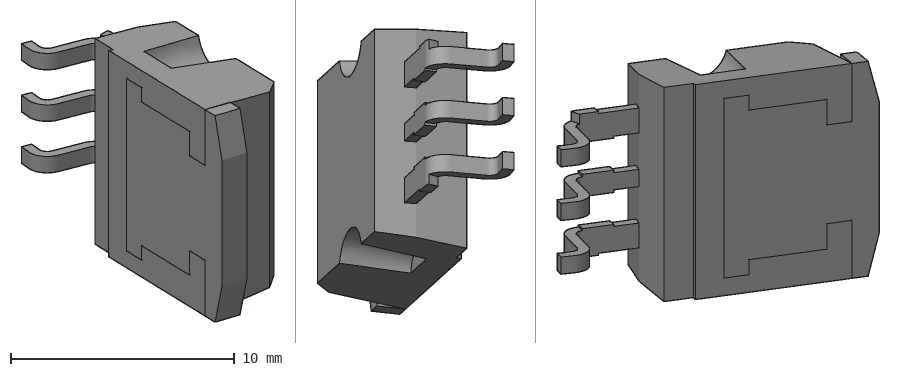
import cadquery as cq
import math


length = 15.43
height = 4.6
half_width = 10.2 / 2

parting_y = 2.7
ridge_x = 4.94
lead_wall_top_x = 5.17
lead_wall_foot_x = 5.14
standoff_y = 0.23
standoff_end_x = 6.56
bevel_start_x = 12.9
bevel_end_x = 13.76
bevel_end_y = 3.75
half_width_at_top = 4.77

slug_thickness = 1.36
anchor_start_x = 7.93
anchor_end_x = 9.13
anchor_half_width = 4.26
pad_end_x = 12.9
pad_half_width = 3.55
neck_half_width = 2.35
tab_start_x = 14.1
tab_corner_x = 14.89
tab_end_half_width = 3.1

notch_x = 8.44
notch_top_radius = 1.5
notch_floor_radius = 1.08

lead_pitch = 2.55
lead_width = 0.82
lead_thickness = 0.54
lead_drop = 0.25
bend_inner_radius = 0.42
bend_outer_radius = bend_inner_radius + lead_thickness
upper_bend_x = 2.19
riser_lean = math.radians(3.5)
lead_top_y = parting_y + lead_thickness

rib_start_x = 2.22
rib_end_x = 3.73
middle_rib_height = 0.12
inner_rib_height = 0.1
root_outer_z = 3.32
shoulder_outer_z = 3.41
shoulder_end_x = 3.0
shoulder_wrap = math.radians(20)


def prism_xy(profile, z_min, z_max):
    """Extrude a closed XY profile between two Z levels."""
    return profile.extrude(z_max - z_min).translate((0, 0, z_min))


def lead_block(x_min, x_max, z_min, z_max):
    """Flat piece of lead at the level of the straight stretch."""
    profile = (
        cq.Workplane("XY")
        .moveTo(x_min, parting_y)
        .lineTo(x_max, parting_y)
        .lineTo(x_max, lead_top_y)
        .lineTo(x_min, lead_top_y)
        .close()
    )
    return prism_xy(profile, z_min, z_max)


def on_circle(center, radius, direction):
    """Point at a radius from a centre along a unit direction."""
    return (center[0] + radius * direction[0], center[1] + radius * direction[1])


def make_slug():
    upper_edge = [
        (anchor_start_x, anchor_half_width),
        (anchor_end_x, anchor_half_width),
        (anchor_end_x, pad_half_width),
        (pad_end_x, pad_half_width),
        (pad_end_x, neck_half_width),
        (tab_start_x, neck_half_width),
        (tab_start_x, half_width),
        (tab_corner_x, half_width),
        (length, tab_end_half_width),
    ]
    lower_edge = [(x, -z) for x, z in reversed(upper_edge)]
    return cq.Workplane("XZ").polyline(upper_edge + lower_edge).close().extrude(-slug_thickness)


def make_housing_blank():
    """Side outline narrowed by the draft of the two Z faces."""
    outline = cq.Workplane("XY").polyline([
        (lead_wall_foot_x, standoff_y),
        (standoff_end_x, standoff_y),
        (standoff_end_x, 0),
        (tab_start_x, 0),
        (bevel_end_x, bevel_end_y),
        (bevel_start_x, height),
        (lead_wall_top_x, height),
        (ridge_x, parting_y),
    ]).close()
    block = prism_xy(outline, -half_width, half_width)
    drafted_section = cq.Workplane("YZ").polyline([
        (0, -half_width),
        (height, -half_width_at_top),
        (height, half_width_at_top),
        (0, half_width),
    ]).close().extrude(length)
    return block.intersect(drafted_section)


def make_notch(side):
    """Cone opening toward +Y, with its axis on the widest Z level of the housing."""
    return cq.Workplane(cq.Solid.makeCone(
        notch_floor_radius,
        notch_top_radius,
        height - slug_thickness,
        cq.Vector(notch_x, slug_thickness, side * half_width),
        cq.Vector(0, 1, 0),
    ))


def make_housing(slug):
    body = make_housing_blank()
    for side in (-1, 1):
        body = body.cut(make_notch(side))
    return body.cut(slug).solids()


upper_bend = (upper_bend_x, parting_y - bend_inner_radius)


def make_bent_strip(z_min, z_max):
    """Constant-width gull-wing strip: straight stretch, riser and foot."""
    lean_sin = math.sin(riser_lean)
    lean_cos = math.cos(riser_lean)
    outward = (-lean_cos, lean_sin)
    inward = (lean_cos, -lean_sin)
    foot_down = (-lean_sin, -lean_cos)
    up = (0, 1)

    side_step = bend_inner_radius + bend_outer_radius
    lower_bend_y = bend_outer_radius - lead_drop
    riser_length = (upper_bend[1] + side_step * lean_sin - lower_bend_y) / lean_cos
    lower_bend = on_circle(on_circle(upper_bend, side_step, outward), riser_length, foot_down)

    foot_bottom = on_circle(lower_bend, bend_outer_radius, foot_down)
    foot_top = on_circle(lower_bend, bend_inner_radius, foot_down)
    foot_length = foot_bottom[0] / lean_cos
    diagonal = math.sqrt(0.5)
    upper_mid = (-diagonal, diagonal)
    lower_mid = (diagonal, -diagonal)

    profile = (
        cq.Workplane("XY")
        .moveTo(lead_wall_top_x, lead_top_y)
        .lineTo(*on_circle(upper_bend, bend_outer_radius, up))
        .threePointArc(
            on_circle(upper_bend, bend_outer_radius, upper_mid),
            on_circle(upper_bend, bend_outer_radius, outward),
        )
        .lineTo(*on_circle(lower_bend, bend_inner_radius, inward))
        .threePointArc(on_circle(lower_bend, bend_inner_radius, lower_mid), foot_top)
        .lineTo(*on_circle(foot_top, foot_length, outward))
        .lineTo(*on_circle(foot_bottom, foot_length, outward))
        .lineTo(*foot_bottom)
        .threePointArc(
            on_circle(lower_bend, bend_outer_radius, lower_mid),
            on_circle(lower_bend, bend_outer_radius, inward),
        )
        .lineTo(*on_circle(upper_bend, bend_inner_radius, outward))
        .threePointArc(
            on_circle(upper_bend, bend_inner_radius, upper_mid),
            on_circle(upper_bend, bend_inner_radius, up),
        )
        .lineTo(lead_wall_top_x, parting_y)
        .close()
    )
    return prism_xy(profile, z_min, z_max)


def make_shoulder(z_min, z_max):
    """Side piece of an outer lead that ends in a radial cut partway round the upper bend."""
    cut_direction = (-math.sin(shoulder_wrap), math.cos(shoulder_wrap))
    half_direction = (-math.sin(shoulder_wrap / 2), math.cos(shoulder_wrap / 2))
    profile = (
        cq.Workplane("XY")
        .moveTo(shoulder_end_x, lead_top_y)
        .lineTo(upper_bend_x, lead_top_y)
        .threePointArc(
            on_circle(upper_bend, bend_outer_radius, half_direction),
            on_circle(upper_bend, bend_outer_radius, cut_direction),
        )
        .lineTo(*on_circle(upper_bend, bend_inner_radius, cut_direction))
        .threePointArc(
            on_circle(upper_bend, bend_inner_radius, half_direction),
            (upper_bend_x, parting_y),
        )
        .lineTo(shoulder_end_x, parting_y)
        .close()
    )
    return prism_xy(profile, z_min, z_max)


def make_middle_lead(housing):
    half_strip = lead_width / 2
    half_rib = half_strip + middle_rib_height
    lead = make_bent_strip(-half_strip, half_strip)
    lead = lead.union(lead_block(rib_start_x, rib_end_x, -half_rib, half_rib))
    return lead.cut(housing).solids()


def make_outer_lead(housing, side):
    """Lead on the +Z side, or its mirror image for side = -1."""
    inner_z = lead_pitch - lead_width / 2
    outer_z = lead_pitch + lead_width / 2
    lead = make_bent_strip(inner_z, outer_z)
    lead = lead.union(lead_block(upper_bend_x, lead_wall_top_x, inner_z, root_outer_z))
    lead = lead.union(lead_block(rib_start_x, rib_end_x, inner_z - inner_rib_height, outer_z))
    lead = lead.union(make_shoulder(outer_z, shoulder_outer_z))
    if side < 0:
        lead = lead.mirror("XY")
    return lead.cut(housing).solids()


slug = make_slug()
housing = make_housing(slug)
middle_lead = make_middle_lead(housing)
outer_leads = [make_outer_lead(housing, side) for side in (-1, 1)]

result = cq.Compound.makeCompound([
    housing.val(),
    slug.val(),
    middle_lead.val(),
    *[lead.val() for lead in outer_leads],
])